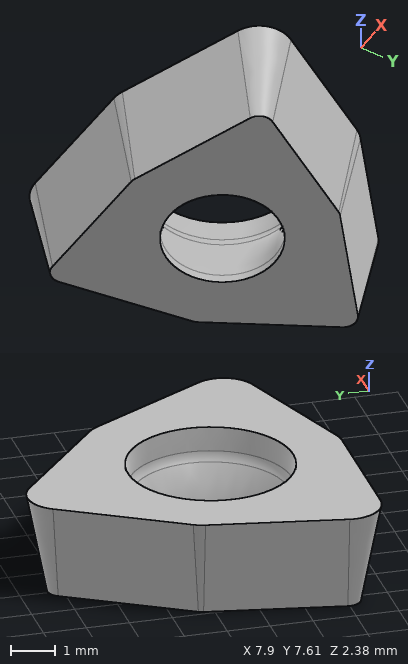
import cadquery as cq
import math

inscribed_diameter = 6.35
thickness = 2.38
corner_radius = 0.8
flank_clearance = 11.0
corner_angle = 80.0
flank_bend = 20.0
nose_direction = -140.0
nose_count = 3
nose_spacing = 360.0 / nose_count

bore_diameter = 2.8
mouth_diameter = 3.845
mouth_end_diameter = 3.78
mouth_depth = 0.57
seat_top_diameter = 3.615
seat_top_depth = 0.81
bore_start_depth = 2.16


def polar(radius, angle):
    """Point at a radius and an angle in degrees."""
    return (radius * math.cos(math.radians(angle)), radius * math.sin(math.radians(angle)))


def rounded_corner(center_distance, direction, half_sweep):
    """Start, middle and end of a corner arc centred along the given direction."""
    center_x, center_y = polar(center_distance, direction)
    points = []
    for angle in (direction - half_sweep, direction, direction + half_sweep):
        offset_x, offset_y = polar(corner_radius, angle)
        points.append((center_x + offset_x, center_y + offset_y))
    return points


def insert_body():
    """Rounded outline at the top face, extruded down with the flank clearance."""
    arc_center_offset = inscribed_diameter / 2 - corner_radius
    nose_half_sweep = (180.0 - corner_angle) / 2
    bend_half_sweep = flank_bend / 2
    nose_distance = arc_center_offset / math.cos(math.radians(nose_half_sweep))
    bend_distance = arc_center_offset / math.cos(math.radians(bend_half_sweep))

    corners = []
    for index in range(nose_count):
        nose = nose_direction + index * nose_spacing
        bend = nose + nose_spacing / 2
        corners.append(rounded_corner(nose_distance, nose, nose_half_sweep))
        corners.append(rounded_corner(bend_distance, bend, bend_half_sweep))

    outline = cq.Workplane("XY").moveTo(*corners[0][0])
    for index, (start, middle, end) in enumerate(corners):
        if index > 0:
            outline = outline.lineTo(*start)
        outline = outline.threePointArc(middle, end)
    return outline.close().extrude(-thickness, taper=flank_clearance)


def screw_hole():
    """Half profile of the hole in the XZ plane, revolved about Z."""
    bore_radius = bore_diameter / 2
    mouth_radius = mouth_diameter / 2
    mouth_end_radius = mouth_end_diameter / 2
    seat_top_radius = seat_top_diameter / 2

    profile = (
        cq.Workplane("XZ")
        .lineTo(mouth_radius, 0)
        .lineTo(mouth_end_radius, -mouth_depth)
        .tangentArcPoint((seat_top_radius, -seat_top_depth), relative=False)
        .tangentArcPoint((bore_radius, -bore_start_depth), relative=False)
        .lineTo(bore_radius, -thickness)
        .lineTo(0, -thickness)
        .close()
    )
    return profile.revolve(360, (0, 0, 0), (0, 1, 0))


result = insert_body().cut(screw_hole())